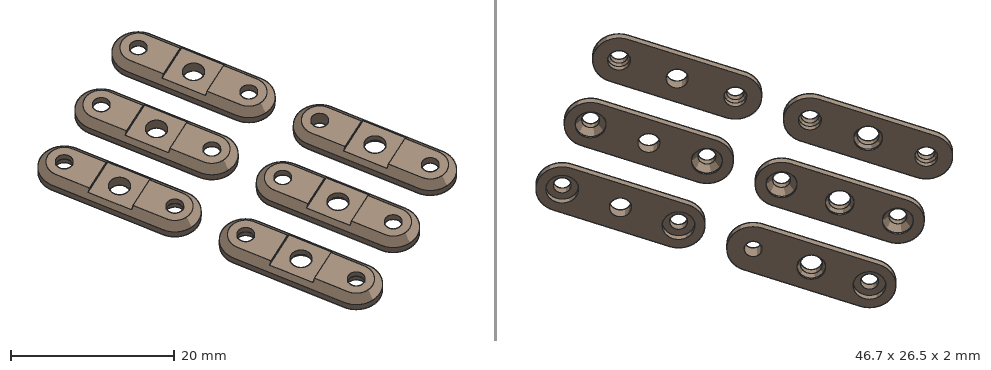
import cadquery as cq

total_length = 46.7
total_width = 26.5
plate_width = 6.5
columns = 2
rows = 3
column_pitch = 25.0
row_pitch = (total_width - plate_width) / (rows - 1)

plate_length = total_length - (columns - 1) * column_pitch
plate_height = 2.0
chamfer_size = plate_height / 2

seat_length = 6.0
seat_depth = 0.4

center_hole_diameter = 2.7
end_hole_diameter = 2.2
end_hole_x = (plate_length - plate_width) / 2

center_recess = (3.5, 0.3, True)
end_recess_by_row = [
    (2.8, 0.8, True),
    (3.8, 0.3, True),
    (4.0, 0.9, False),
]


def make_blank():
    """Round-ended plate, centred in X and Y and standing on Z = 0, with the top edge chamfered."""
    return (
        cq.Workplane("XY")
        .slot2D(plate_length, plate_width)
        .extrude(plate_height)
        .faces(">Z")
        .chamfer(chamfer_size)
    )


def make_seat():
    """Cutter for the seat, wide enough to open through both long sides."""
    return (
        cq.Workplane("XY")
        .workplane(offset=plate_height - seat_depth)
        .rect(seat_length, plate_width)
        .extrude(seat_depth)
    )


def make_hole(x, diameter, recess=None):
    """Cutter for a through hole at x, with an optional screw head recess at the bottom."""
    hole_radius = diameter / 2
    if recess is None:
        return cq.Workplane("XY").center(x, 0).circle(hole_radius).extrude(plate_height)

    recess_diameter, straight_depth, conical = recess
    recess_radius = recess_diameter / 2
    cone_height = recess_radius - hole_radius if conical else 0
    recess_top = straight_depth + cone_height
    half_section = (
        cq.Workplane("XZ")
        .polyline([
            (0, 0),
            (recess_radius, 0),
            (recess_radius, straight_depth),
            (hole_radius, recess_top),
            (hole_radius, plate_height),
            (0, plate_height),
        ])
        .close()
    )
    return half_section.revolve(360, (0, 0, 0), (0, 1, 0)).translate((x, 0, 0))


def make_plate(column, row):
    """One plate, with the recesses that belong to its place in the grid."""
    last_column = column == columns - 1
    last_row = row == rows - 1

    center_hole_recess = center_recess if last_column else None

    right_recess = end_recess_by_row[row]
    left_recess = None if last_column and last_row else right_recess

    return (
        make_blank()
        .cut(make_seat())
        .cut(make_hole(0, center_hole_diameter, center_hole_recess))
        .cut(make_hole(-end_hole_x, end_hole_diameter, left_recess))
        .cut(make_hole(end_hole_x, end_hole_diameter, right_recess))
    )


def make_plates():
    """A separate plate at every grid position, with the grid centred on the origin."""
    plates = []
    for column in range(columns):
        for row in range(rows):
            x = (column - (columns - 1) / 2) * column_pitch
            y = (row - (rows - 1) / 2) * row_pitch
            plates.append(make_plate(column, row).translate((x, y, 0)).val())
    return plates


result = cq.Compound.makeCompound(make_plates())